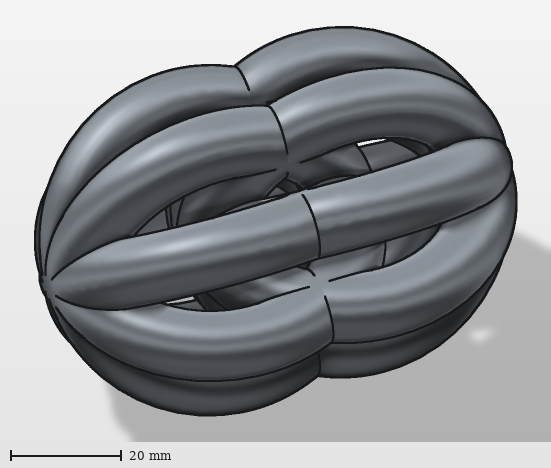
import cadquery as cq
import math

length = 88.9
ring_count = 4

tube_per_ring = 1 / 4
offset_per_ring = 1 / 2

ring_radius = length / 2 / (1 + tube_per_ring + offset_per_ring)
tube_radius = ring_radius * tube_per_ring
cluster_offset = ring_radius * offset_per_ring

arm_count = 2 * ring_count
arm_angle = 360 / arm_count


def ring(center_y):
    """Torus lying in the XY plane, with its seam on -X, clear of the +X arm."""
    torus = cq.Solid.makeTorus(ring_radius, tube_radius)
    turned = torus.rotate(cq.Vector(0, 0, 0), cq.Vector(0, 0, 1), 180)
    return cq.Workplane(obj=turned.translate(cq.Vector(0, center_y, 0)))


def arm_sector():
    """Wedge about the Y axis that holds the +X arm, midway to its neighbours."""
    reach = length
    half_width = reach * math.tan(math.radians(arm_angle / 2))
    triangle = [(0, 0), (reach, -half_width), (reach, half_width)]
    return cq.Workplane("XZ").polyline(triangle).close().extrude(length, both=True)


ring_pair = ring(-cluster_offset).union(ring(cluster_offset))
arm = ring_pair.intersect(arm_sector())

axis_start = (0, 0, 0)
axis_end = (0, 1, 0)
arms = [arm.rotate(axis_start, axis_end, index * arm_angle) for index in range(arm_count)]

first_arm, *other_arms = [item.val() for item in arms]
body = first_arm.fuse(*other_arms)
result = cq.Workplane(obj=body.Solids()[0])